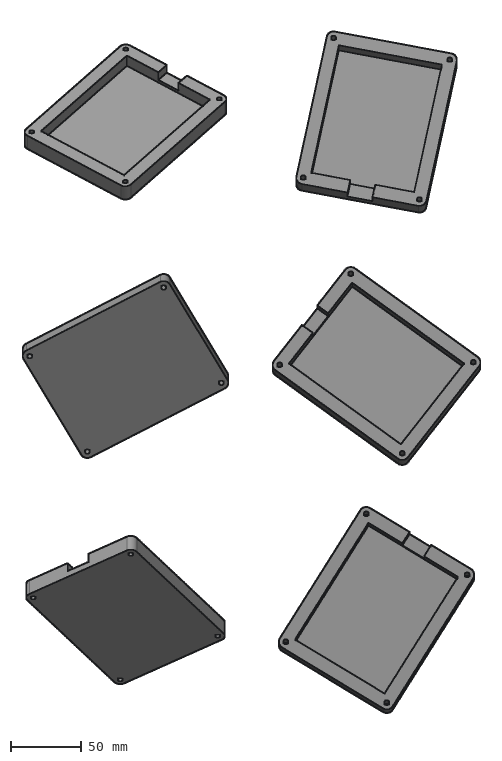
import cadquery as cq

length_x = 94.4
length_y = 119.2
height = 13.0
corner_radius = 5.0

wall = 9.8
pocket_depth = 10.0

notch_width = 18.1
notch_depth = 7.5

hole_diameter = 3.5
hole_spacing_x = length_x - 2 * corner_radius
hole_spacing_y = length_y - 2 * corner_radius


def make_body():
    """Rounded block centred on the origin in X and Y, resting on Z = 0."""
    block = cq.Workplane("XY").box(length_x, length_y, height, centered=(True, True, False))
    return block.edges("|Z").fillet(corner_radius)


def cut_pocket(body):
    return (
        body.faces(">Z").workplane(origin=(0, 0, height))
        .rect(length_x - 2 * wall, length_y - 2 * wall)
        .cutBlind(-pocket_depth)
    )


def cut_notch(body):
    """Open the +Y wall from its top down to the notch floor."""
    wall_center_y = (length_y - wall) / 2
    return (
        body.faces(">Z").workplane(origin=(0, 0, height))
        .center(0, wall_center_y)
        .rect(notch_width, wall)
        .cutBlind(-notch_depth)
    )


def drill_corner_holes(body):
    return (
        body.faces(">Z").workplane(origin=(0, 0, height))
        .rect(hole_spacing_x, hole_spacing_y, forConstruction=True)
        .vertices()
        .hole(hole_diameter)
    )


result = drill_corner_holes(cut_notch(cut_pocket(make_body())))